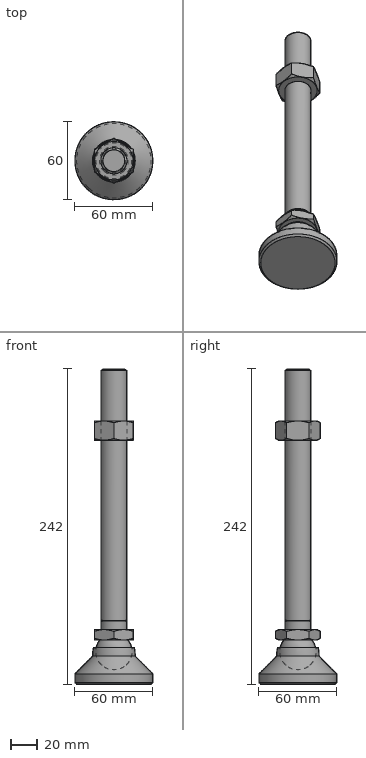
import cadquery as cq
import math

total_height = 242.0
rod_diameter = 20.0
rod_radius = rod_diameter / 2

foot_radius = 30.0
foot_edge_chamfer = 1.5
foot_band_top = 8.0
collar_base_z = 21.5
collar_base_radius = 16.5
collar_top_z = 28.0
collar_top_radius = 15.7
collar_bulge = 0.2

ball_radius = 14.0
ball_center_z = 25.2
hexagon_base_z = 34.0
hexagon_height = 8.2
groove_base_z = 48.5
groove_width = 0.7
groove_depth = 1.0
rod_tip_chamfer_depth = 1.7
rod_tip_chamfer_height = 1.2

across_flats = 30.0
across_corners = across_flats / math.cos(math.pi / 6)
hexagon_face_radius = 14.8
chamfer_angle = math.radians(30)

nut_base_z = 187.3
nut_height = 15.0


def make_hexagon(base_z, height):
    """Hexagonal prism, corners on the Y axis, with both ends coned at the corners."""
    corner_radius = across_corners / 2
    corner_drop = (corner_radius - hexagon_face_radius) * math.tan(chamfer_angle)
    prism = (
        cq.Workplane("XY").polygon(6, across_corners).extrude(height)
        .rotate((0, 0, 0), (0, 0, 1), 30)
    )
    coned_blank = (
        cq.Workplane("XZ")
        .moveTo(0, 0)
        .lineTo(hexagon_face_radius, 0)
        .lineTo(corner_radius, corner_drop)
        .lineTo(corner_radius, height - corner_drop)
        .lineTo(hexagon_face_radius, height)
        .lineTo(0, height)
        .close()
        .revolve(360, (0, 0, 0), (0, 1, 0))
    )
    return prism.intersect(coned_blank).translate((0, 0, base_z))


def make_ball():
    return cq.Workplane("XY").sphere(ball_radius).translate((0, 0, ball_center_z))


def make_foot():
    collar_middle = (
        (collar_base_radius + collar_top_radius) / 2 + collar_bulge,
        (collar_base_z + collar_top_z) / 2,
    )
    body = (
        cq.Workplane("XZ")
        .moveTo(0, 0)
        .lineTo(foot_radius - foot_edge_chamfer, 0)
        .lineTo(foot_radius, foot_edge_chamfer)
        .lineTo(foot_radius, foot_band_top)
        .lineTo(collar_base_radius, collar_base_z)
        .threePointArc(collar_middle, (collar_top_radius, collar_top_z))
        .lineTo(0, collar_top_z)
        .close()
        .revolve(360, (0, 0, 0), (0, 1, 0))
    )
    return body.cut(make_ball())


def make_rod():
    """Rod from the ball centre to the tip, with a thin square groove above the hexagon."""
    return (
        cq.Workplane("XZ")
        .moveTo(0, ball_center_z)
        .lineTo(rod_radius, ball_center_z)
        .lineTo(rod_radius, groove_base_z)
        .lineTo(rod_radius - groove_depth, groove_base_z)
        .lineTo(rod_radius - groove_depth, groove_base_z + groove_width)
        .lineTo(rod_radius, groove_base_z + groove_width)
        .lineTo(rod_radius, total_height - rod_tip_chamfer_height)
        .lineTo(rod_radius - rod_tip_chamfer_depth, total_height)
        .lineTo(0, total_height)
        .close()
        .revolve(360, (0, 0, 0), (0, 1, 0))
    )


def make_spindle():
    """Ball, hexagon and rod joined; the top of the ball lies inside the hexagon or the rod."""
    return make_rod().union(make_ball()).union(make_hexagon(hexagon_base_z, hexagon_height))


def make_lock_nut():
    bore = cq.Workplane("XY").workplane(offset=nut_base_z).circle(rod_radius).extrude(nut_height)
    return make_hexagon(nut_base_z, nut_height).cut(bore)


foot = make_foot()
spindle = make_spindle()
lock_nut = make_lock_nut()

result = cq.Compound.makeCompound([foot.val(), spindle.val(), lock_nut.val()])